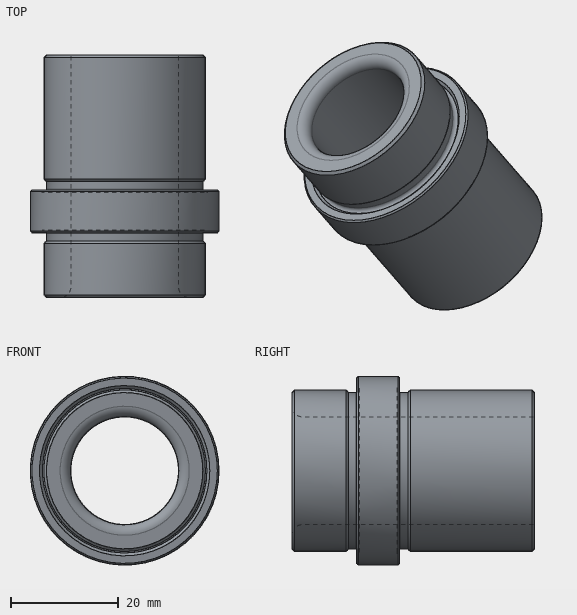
import cadquery as cq

length = 45.0
body_radius = 15.0
collar_radius = 17.5
bore_radius = 10.0
mouth_radius = 2.0

collar_start = 12.0
collar_end = 20.0
front_groove_start = 10.5
rear_groove_end = 21.5
groove_depth = 0.45
body_chamfer = 0.5
collar_chamfer = 0.3

undercut_rim_radius = 15.8
undercut_floor_radius = 15.25
undercut_depth = 0.55

groove_radius = body_radius - groove_depth


corner_radius = undercut_floor_radius - groove_radius
front_floor = collar_start + undercut_depth
rear_floor = collar_end - undercut_depth

section = (
    cq.Workplane("XY")
    .moveTo(bore_radius + mouth_radius, 0)
    .lineTo(body_radius - body_chamfer, 0)
    .lineTo(body_radius, body_chamfer)
    .lineTo(body_radius, front_groove_start - groove_depth)
    .lineTo(groove_radius, front_groove_start)
    .lineTo(groove_radius, front_floor - corner_radius)
    .radiusArc((undercut_floor_radius, front_floor), corner_radius)
    .lineTo(undercut_rim_radius, collar_start)
    .lineTo(collar_radius - collar_chamfer, collar_start)
    .lineTo(collar_radius, collar_start + collar_chamfer)
    .lineTo(collar_radius, collar_end - collar_chamfer)
    .lineTo(collar_radius - collar_chamfer, collar_end)
    .lineTo(undercut_rim_radius, collar_end)
    .lineTo(undercut_floor_radius, rear_floor)
    .radiusArc((groove_radius, rear_floor + corner_radius), corner_radius)
    .lineTo(groove_radius, rear_groove_end)
    .lineTo(body_radius, rear_groove_end + groove_depth)
    .lineTo(body_radius, length - body_chamfer)
    .lineTo(body_radius - body_chamfer, length)
    .lineTo(bore_radius, length)
    .lineTo(bore_radius, mouth_radius)
    .radiusArc((bore_radius + mouth_radius, 0), -mouth_radius)
    .close()
)

result = section.revolve(360, (0, 0, 0), (0, 1, 0)).translate((0, -length / 2, 0))